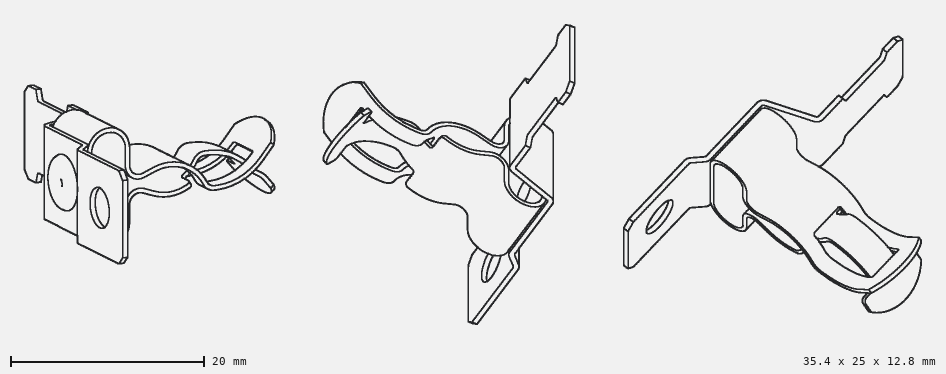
import cadquery as cq
import math


BRACKET_THICKNESS = 0.6
BRACKET_HEIGHT = 10.0
BRACKET_LEFT_END = -19.9
BRACKET_LENGTH = 35.4
BRACKET_BEND_RADIUS = 0.3
LEFT_BEND_ANGLE = 70.0
LEFT_TAB_RISE = 5.88
LEG_FOOT_X = -4.6
RIGHT_BEND_ANGLE = 45.0
RIGHT_TAB_DROP = 1.38
JOG_X = 4.15
CORNER_CHAMFER = 0.85
NOTCH_LEFT_X = -17.35
NOTCH_RIGHT_X = -10.3
NOTCH_DEPTH = 1.17
NOTCH_SIDE_ANGLE = 20.0
NOTCH_FILLET = 0.25
MOUNT_HOLE_X = 10.45
MOUNT_HOLE_DIAMETER = 4.25

CLIP_THICKNESS = 0.5
CLIP_WIDTH = 8.0
CLIP_HEIGHT = 12.8
LOOP_OUTER_RADIUS = 2.4
LOOP_FLAT = 0.1
NECK_BEND_RADIUS = 1.38
NECK_BEND_Z = 2.12
NECK_ANGLE = 20.0
CREST_HEIGHT = 1.6
FRONT_BULGE_RADIUS = 4.85
ROOT_SHOULDER_ANGLE = 34.0
DIVE_BEND_RADIUS = 1.25
BULGE_FLAT = 0.32
REAR_BULGE_RADIUS = 6.8
TIP_ANGLE = 50.0
WAIST_STRAIGHT = 0.25
TIP_LENGTH = 3.58
TIP_ROUND_RADIUS = 5.15
WINDOW_WIDTH = 4.3
TONGUE_WIDTH = 3.65
INNER_CORNER_RADIUS = 0.25
SHOULDER_CORNER_RADIUS = 0.5
MATCH = 0.005

HEAD_DIAMETER = 5.9
HEAD_FLAT_DIAMETER = 4.4
HEAD_HEIGHT = 0.65
SHANK_DIAMETER = 3.0
DIMPLE_RADIUS = 1.0
HEAD_FACE_Y = -BRACKET_THICKNESS - HEAD_HEIGHT


def advance(pose, move):
    """Pose at the end of one move."""
    u, v, heading = pose
    size, turn = move
    start = math.radians(heading)
    if turn == 0:
        return u + size * math.cos(start), v + size * math.sin(start), heading
    end = math.radians(heading + turn)
    radius = math.copysign(size, turn)
    u_end = u + radius * (math.sin(end) - math.sin(start))
    v_end = v - radius * (math.cos(end) - math.cos(start))
    return u_end, v_end, heading + turn


def follow(pose, moves):
    """Pose at the end of a list of moves."""
    for move in moves:
        pose = advance(pose, move)
    return pose


def beside(pose, distance):
    """Point at a distance to the left of a pose."""
    u, v, heading = pose
    angle = math.radians(heading)
    return u - distance * math.sin(angle), v + distance * math.cos(angle)


def bent_strip(plane, start, moves, thickness, width):
    """Strip centred on a path in the plane and extruded to both sides of it."""
    half = thickness / 2
    stretches = []
    pose = start
    for size, turn in moves:
        middle = advance(pose, (size, turn / 2))
        end = advance(pose, (size, turn))
        stretches.append((pose, middle, end, turn))
        pose = end
    outline = cq.Workplane(plane).moveTo(*beside(start, half))
    for _, middle, end, turn in stretches:
        if turn == 0:
            outline = outline.lineTo(*beside(end, half))
        else:
            outline = outline.threePointArc(beside(middle, half), beside(end, half))
    outline = outline.lineTo(*beside(pose, -half))
    for begin, middle, _, turn in reversed(stretches):
        if turn == 0:
            outline = outline.lineTo(*beside(begin, -half))
        else:
            outline = outline.threePointArc(beside(middle, -half), beside(begin, -half))
    return outline.close().extrude(width / 2, both=True)


def bracket_strip():
    """Left tab, leg, seat, jog and right tab as one bent strip."""
    bend = BRACKET_BEND_RADIUS + BRACKET_THICKNESS / 2
    left = math.radians(LEFT_BEND_ANGLE)
    right = math.radians(RIGHT_BEND_ANGLE)
    left_setback = bend * math.tan(left / 2)
    right_setback = bend * math.tan(right / 2)
    leg_top_x = LEG_FOOT_X - LEFT_TAB_RISE / math.tan(left)
    jog_end_x = JOG_X + RIGHT_TAB_DROP / math.tan(right)
    right_end = BRACKET_LEFT_END + BRACKET_LENGTH
    start = (BRACKET_LEFT_END, LEFT_TAB_RISE - BRACKET_THICKNESS / 2, 0)
    moves = [
        (leg_top_x - BRACKET_LEFT_END - left_setback, 0),
        (bend, -LEFT_BEND_ANGLE),
        (LEFT_TAB_RISE / math.sin(left) - 2 * left_setback, 0),
        (bend, LEFT_BEND_ANGLE),
        (JOG_X - LEG_FOOT_X - left_setback - right_setback, 0),
        (bend, -RIGHT_BEND_ANGLE),
        (RIGHT_TAB_DROP / math.sin(right) - 2 * right_setback, 0),
        (bend, RIGHT_BEND_ANGLE),
        (right_end - jog_end_x - right_setback, 0),
    ]
    return bent_strip("XY", start, moves, BRACKET_THICKNESS, BRACKET_HEIGHT)


def notch():
    """Tapered cutter for the notch in the upper edge of the left tab."""
    taper = NOTCH_DEPTH * math.tan(math.radians(NOTCH_SIDE_ANGLE))
    top = BRACKET_HEIGHT / 2
    bottom = top - NOTCH_DEPTH
    return (
        cq.Workplane("XZ")
        .moveTo(NOTCH_LEFT_X, top)
        .lineTo(NOTCH_RIGHT_X, top)
        .lineTo(NOTCH_RIGHT_X - taper, bottom)
        .lineTo(NOTCH_LEFT_X + taper, bottom)
        .close()
        .extrude(2 * LEFT_TAB_RISE, both=True)
        .edges("|Y and <Z")
        .fillet(NOTCH_FILLET)
    )


def make_bracket():
    body = bracket_strip()
    body = body.faces("<X or >X").edges("|Y").chamfer(CORNER_CHAMFER)
    body = body.cut(notch()).cut(notch().mirror("XY"))
    mount_hole = (
        cq.Workplane("XZ")
        .center(MOUNT_HOLE_X, 0)
        .circle(MOUNT_HOLE_DIAMETER / 2)
        .extrude(2 * LEFT_TAB_RISE, both=True)
    )
    return body.cut(mount_hole).cut(shank())


def arm_path():
    """Moves from the seat to the waist, along the waist and along the tip of an arm."""
    loop_radius = LOOP_OUTER_RADIUS - CLIP_THICKNESS / 2
    loop_z = CLIP_HEIGHT / 2 - LOOP_OUTER_RADIUS
    neck = math.radians(NECK_ANGLE)
    neck_start_z = NECK_BEND_Z - NECK_BEND_RADIUS * math.cos(neck)
    neck_end_z = CREST_HEIGHT - FRONT_BULGE_RADIUS * (1 - math.cos(neck))
    fall = 2 * CREST_HEIGHT / (FRONT_BULGE_RADIUS + DIVE_BEND_RADIUS)
    dive_angle = math.degrees(math.acos(1 - fall))
    root = [
        (loop_z, 0),
        (loop_radius, -90),
        (LOOP_FLAT, 0),
        (loop_radius, -90),
        (loop_z - NECK_BEND_Z, 0),
        (NECK_BEND_RADIUS, 90 + NECK_ANGLE),
        ((neck_end_z - neck_start_z) / math.sin(neck), 0),
        (FRONT_BULGE_RADIUS, -NECK_ANGLE - ROOT_SHOULDER_ANGLE),
    ]
    waist = [
        (FRONT_BULGE_RADIUS, ROOT_SHOULDER_ANGLE - dive_angle),
        (DIVE_BEND_RADIUS, dive_angle),
        (BULGE_FLAT, 0),
        (REAR_BULGE_RADIUS, TIP_ANGLE),
        (WAIST_STRAIGHT, 0),
    ]
    tip = [(TIP_LENGTH, 0)]
    return root, waist, tip


ARM_START = (CLIP_THICKNESS / 2, 0, 90)
ROOT, WAIST, TIP = arm_path()
WAIST_START = follow(ARM_START, ROOT)
WAIST_END = follow(WAIST_START, WAIST)
TIP_END = follow(WAIST_END, TIP)


def waist_end_edges(body, x):
    """Edges through the thickness at both ends of the waist, at a distance x from the middle."""
    ends = [cq.Vector(0, y, z) for y, z, _ in (WAIST_START, WAIST_END)]

    def wanted(edge):
        middle = edge.Center()
        on_axis = cq.Vector(0, middle.y, middle.z)
        return abs(abs(middle.x) - x) < MATCH and min((on_axis - end).Length for end in ends) < MATCH

    return body.edges("%LINE").filter(wanted)


def tip_waste():
    """Material outside the round end of an arm."""
    y, z, heading = TIP_END
    angle = math.radians(heading)
    normal = cq.Vector(0, -math.sin(angle), math.cos(angle))
    plane = cq.Plane(origin=(0, y, z), xDir=(1, 0, 0), normal=normal.toTuple())
    rounding = TIP_ROUND_RADIUS
    sagitta = rounding - math.sqrt(rounding ** 2 - (CLIP_WIDTH / 2) ** 2)
    waste = cq.Workplane(plane).rect(2 * CLIP_WIDTH, 2 * sagitta).extrude(CLIP_THICKNESS, both=True)
    kept = cq.Workplane(plane).center(0, -rounding).circle(rounding).extrude(CLIP_THICKNESS, both=True)
    return waste.cut(kept)


def window_arm():
    """Half of the clip with a window, through which the tongue of the other half passes."""
    arm = bent_strip("YZ", ARM_START, ROOT + WAIST + TIP, CLIP_THICKNESS, CLIP_WIDTH)
    window = bent_strip("YZ", WAIST_START, WAIST, CLIP_THICKNESS, WINDOW_WIDTH)
    arm = arm.cut(window).cut(tip_waste())
    return waist_end_edges(arm, WINDOW_WIDTH / 2).fillet(INNER_CORNER_RADIUS)


def tongue_arm():
    """Half of the clip narrowed to a tongue along its waist."""
    arm = bent_strip("YZ", ARM_START, ROOT, CLIP_THICKNESS, CLIP_WIDTH)
    tongue = bent_strip("YZ", WAIST_START, WAIST, CLIP_THICKNESS, TONGUE_WIDTH)
    tip = bent_strip("YZ", WAIST_END, TIP, CLIP_THICKNESS, CLIP_WIDTH)
    arm = arm.union(tongue).union(tip.cut(tip_waste()))
    arm = waist_end_edges(arm, TONGUE_WIDTH / 2).fillet(INNER_CORNER_RADIUS)
    return waist_end_edges(arm, CLIP_WIDTH / 2).fillet(SHOULDER_CORNER_RADIUS)


def make_clip():
    clip = window_arm().union(tongue_arm().mirror("XY"))
    return clip.cut(shank())


def shank():
    """Cylinder through the seat of the bracket and the clip."""
    return (
        cq.Workplane("XZ", origin=(0, CLIP_THICKNESS, 0))
        .circle(SHANK_DIAMETER / 2)
        .extrude(CLIP_THICKNESS + BRACKET_THICKNESS)
    )


def dimple():
    """Flared pit in the head, steepening to a point on the axis."""
    return (
        cq.Workplane("XY", origin=(0, HEAD_FACE_Y, 0))
        .lineTo(0, DIMPLE_RADIUS)
        .radiusArc((DIMPLE_RADIUS, 0), -DIMPLE_RADIUS)
        .close()
        .revolve(360, (0, 0, 0), (0, 1, 0))
    )


def make_rivet():
    seat_y = -BRACKET_THICKNESS
    flat_radius = HEAD_FLAT_DIAMETER / 2
    head = (
        cq.Workplane("XY")
        .moveTo(0, seat_y)
        .lineTo(0, HEAD_FACE_Y)
        .lineTo(flat_radius, HEAD_FACE_Y)
        .tangentArcPoint((HEAD_DIAMETER / 2, seat_y), relative=False)
        .close()
        .revolve(360, (0, 0, 0), (0, 1, 0))
    )
    return head.union(shank()).cut(dimple())


bracket = make_bracket().solids()
clip = make_clip().solids()
rivet = make_rivet().solids()

result = cq.Compound.makeCompound([bracket.val(), clip.val(), rivet.val()])